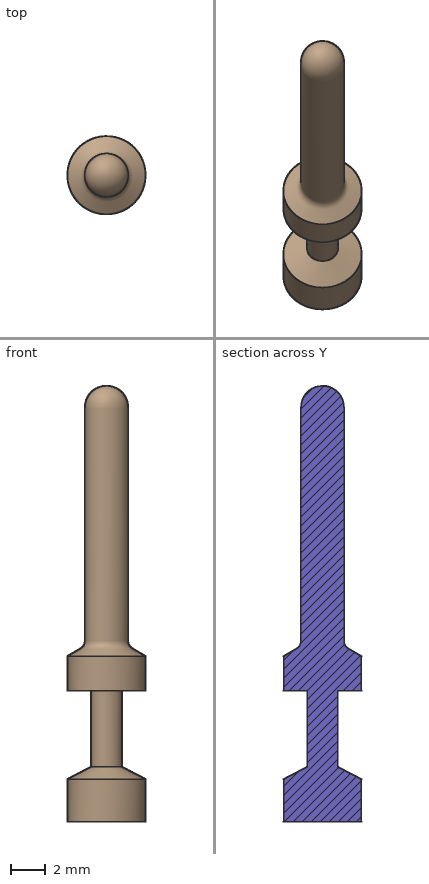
import cadquery as cq
import math

total_height = 25.0
collar_radius = 2.25
pin_radius = 1.25
neck_radius = 0.9

foot_height = 2.45
foot_cone_top = 3.15

collar_bottom = 7.5
collar_top = 9.5
blend_radius = 0.5
cone_angle = math.radians(30)

blend_center_radius = pin_radius + blend_radius
blend_start_radius = blend_center_radius - blend_radius * math.sin(cone_angle)
blend_start_z = collar_top + (collar_radius - blend_start_radius) * math.tan(cone_angle)
blend_end_z = blend_start_z + blend_radius * math.cos(cone_angle)
blend_mid_angle = (math.pi / 2 - cone_angle) / 2
blend_mid = (
    blend_center_radius - blend_radius * math.cos(blend_mid_angle),
    blend_end_z - blend_radius * math.sin(blend_mid_angle),
)

dome_base = total_height - pin_radius
dome_mid = (
    pin_radius * math.cos(math.pi / 4),
    dome_base + pin_radius * math.sin(math.pi / 4),
)

profile = (
    cq.Workplane("XZ")
    .lineTo(collar_radius, 0)
    .lineTo(collar_radius, foot_height)
    .lineTo(neck_radius, foot_cone_top)
    .lineTo(neck_radius, collar_bottom)
    .lineTo(collar_radius, collar_bottom)
    .lineTo(collar_radius, collar_top)
    .lineTo(blend_start_radius, blend_start_z)
    .threePointArc(blend_mid, (pin_radius, blend_end_z))
    .lineTo(pin_radius, dome_base)
    .threePointArc(dome_mid, (0, total_height))
    .close()
)

result = profile.revolve(360, (0, 0, 0), (0, 1, 0))